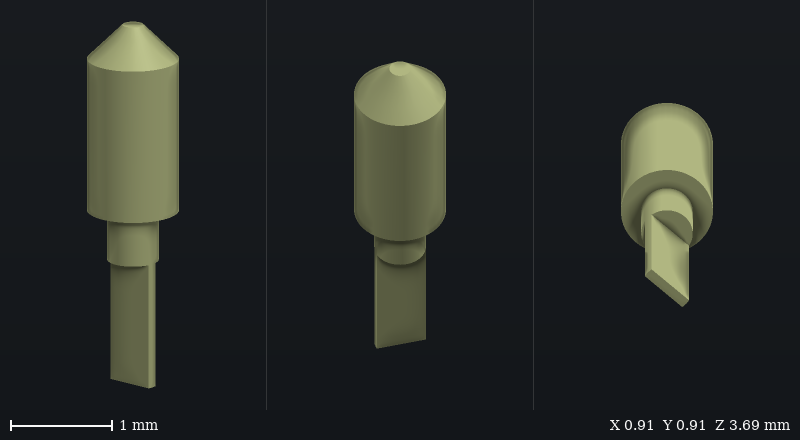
import cadquery as cq

body_diameter = 0.91
tip_diameter = 0.21
neck_diameter = 0.51
blade_thickness = 0.10

total_length = 3.69
blade_length = 1.27
neck_length = 0.51
cone_height = (body_diameter - tip_diameter) / 2

neck_bottom = blade_length
body_bottom = neck_bottom + neck_length
cone_bottom = total_length - cone_height


def turned_pin():
    """Blade stock, neck, body and conical tip as one revolved profile."""
    tail_radius = neck_diameter / 2
    body_radius = body_diameter / 2
    return (
        cq.Workplane("XZ")
        .moveTo(0, 0)
        .lineTo(tail_radius, 0)
        .lineTo(tail_radius, body_bottom)
        .lineTo(body_radius, body_bottom)
        .lineTo(body_radius, cone_bottom)
        .lineTo(tip_diameter / 2, total_length)
        .lineTo(0, total_length)
        .close()
        .revolve(360, (0, 0, 0), (0, 1, 0))
    )


def blade_flat(side):
    """Material removed from one side (+1 or -1 along Y) to leave the blade."""
    flat_depth = (body_diameter - blade_thickness) / 2
    return (
        cq.Workplane("XY")
        .box(body_diameter, flat_depth, blade_length, centered=(True, True, False))
        .translate((0, side * (blade_thickness + flat_depth) / 2, 0))
    )


result = turned_pin()
for side in (1, -1):
    result = result.cut(blade_flat(side))